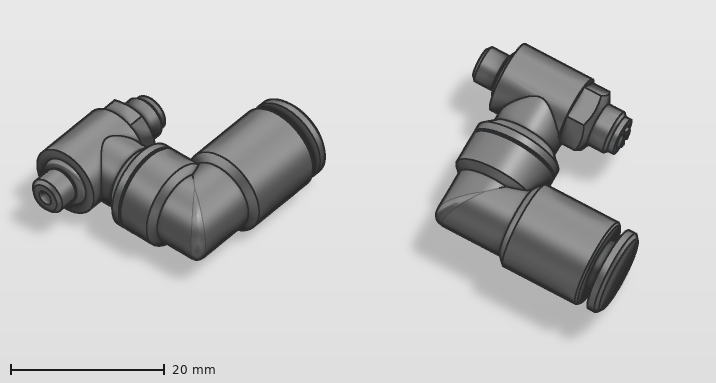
import cadquery as cq
import math


sleeve_radius = 6.0
elbow_radius = 5.0
flare = sleeve_radius - elbow_radius
corner_fillet = 1.35
reach = 2 * sleeve_radius
tangent_offset = reach * (elbow_radius - corner_fillet) / elbow_radius
inner_mitre = (-reach, reach)
tangent_on_x = (tangent_offset, -reach)
tangent_on_y = (reach, -tangent_offset)

collar_start = 5.95
collar_end = 17.0
collar_chamfer = 0.3
release_neck_radius = 3.6
release_neck_flare = 0.25
release_ring_start = 18.42
release_ring_end = 19.92
release_ring_radius = 5.75
release_ring_chamfer_length = 0.48
release_ring_chamfer_depth = 0.57

swivel_start = 3.05
groove_start = 7.5
groove_width = 0.33
groove_depth = groove_width
swivel_end = 8.95
stem_radius = 4.5
stem_start = 10.38

valve_x = -16.9
valve_radius = 4.85
valve_bottom = -6.0
valve_top = 4.08

hex_across_flats = 8.05
hex_corner_radius = hex_across_flats / math.sqrt(3)
hex_corner_top = 6.6
hex_top = 7.5
screw_radius = 2.97
screw_shoulder = 9.78
screw_tip_radius = 2.52
screw_tip_start = screw_shoulder + screw_radius - screw_tip_radius
screw_tip_end = 11.05
needle_base_radius = 1.62
needle_end_radius = 1.25
needle_end = 11.5
slot_width = 0.7

seal_section_radius = 0.72
seal_center_radius = 2.75
spigot_radius = 2.52
spigot_neck_radius = 2.37
spigot_end = -10.08
spigot_start = -6.95
spigot_chamfer_length = 0.48
spigot_chamfer_depth = 0.55
bore_radius = 1.02
bore_depth = 3.0


def turned_y(outline, axis_x=0.0):
    """Revolve (radius, y) points about the Y-parallel axis at axis_x."""
    points = [(axis_x + radius, y) for radius, y in outline]
    return cq.Workplane("XY").polyline(points).close().revolve(360, (axis_x, 0, 0), (axis_x, 1, 0))


def turned_x(outline):
    """Revolve (distance along -X, radius) points about the X axis."""
    points = [(-distance, radius) for distance, radius in outline]
    return cq.Workplane("XY").polyline(points).close().revolve(360, (0, 0, 0), (1, 0, 0))


def rod_y(radius, start, end, axis_x=0.0):
    """Plain cylinder between two positions along Y."""
    return turned_y([(0, start), (radius, start), (radius, end), (0, end)], axis_x)


def elbow_sector(*outline):
    """Prism as thick as the elbow, running from its centre line to the outline."""
    return (
        cq.Workplane("XY")
        .polyline([(0, 0), *outline])
        .close()
        .extrude(elbow_radius, both=True)
    )


def make_elbow_arms():
    """Two equal cylinders meeting in a mitre, open at the outer corner."""
    arm_x = turned_x([
        (-elbow_radius, 0),
        (-elbow_radius, elbow_radius),
        (swivel_start, elbow_radius),
        (swivel_start, 0),
    ])
    arm_y = rod_y(elbow_radius, -elbow_radius, collar_start)
    arm_x = arm_x.intersect(elbow_sector(inner_mitre, (-reach, -reach), tangent_on_x))
    arm_y = arm_y.intersect(elbow_sector(tangent_on_y, (reach, reach), inner_mitre))
    return arm_x.union(arm_y)


def make_elbow_corner():
    """Rounded wedge that closes the outer corner between the two arms."""
    wedge = elbow_sector(tangent_on_x, (reach, -reach), tangent_on_y)
    return make_corner_ellipsoid().intersect(wedge)


def make_corner_ellipsoid():
    """Ellipsoid tangent to both elbow cylinders, longest across the outer corner."""
    long_scale = math.sqrt((2 * elbow_radius - corner_fillet) / elbow_radius)
    short_scale = math.sqrt(corner_fillet / elbow_radius)
    stretch = cq.Matrix([
        [long_scale, 0, 0, 0],
        [0, 1, 0, 0],
        [0, 0, short_scale, 0],
    ])
    sphere = cq.Workplane("XY").sphere(elbow_radius).val()
    ellipsoid = cq.Workplane("XY").newObject([sphere.transformGeometry(stretch)])
    return ellipsoid.rotate((0, 0, 0), (1, 0, 0), 90).rotate((0, 0, 0), (0, 0, 1), 135)


def make_collar():
    """Push-in collar with its release ring."""
    collar = turned_y([
        (0, collar_start - flare),
        (elbow_radius, collar_start - flare),
        (sleeve_radius, collar_start),
        (sleeve_radius, collar_end - collar_chamfer),
        (sleeve_radius - collar_chamfer, collar_end),
        (0, collar_end),
    ])
    release_ring = turned_y([
        (0, collar_end),
        (release_neck_radius, collar_end),
        (release_neck_radius, release_ring_start - release_neck_flare),
        (release_neck_radius + release_neck_flare, release_ring_start),
        (release_ring_radius, release_ring_start),
        (release_ring_radius, release_ring_end - release_ring_chamfer_length),
        (release_ring_radius - release_ring_chamfer_depth, release_ring_end),
        (0, release_ring_end),
    ])
    return collar.union(release_ring)


def make_swivel():
    """Grooved swivel sleeve and the stem that meets the valve body."""
    groove_end = groove_start + groove_width
    groove_radius = sleeve_radius - groove_depth
    swivel = turned_x([
        (swivel_start - flare, 0),
        (swivel_start - flare, elbow_radius),
        (swivel_start, sleeve_radius),
        (groove_start, sleeve_radius),
        (groove_end, groove_radius),
        (groove_end, sleeve_radius),
        (swivel_end, sleeve_radius),
        (stem_start, stem_radius),
        (-valve_x, stem_radius),
        (-valve_x, 0),
    ])
    return swivel.cut(rod_y(valve_radius, -stem_radius, stem_radius, valve_x))


def make_hexagon():
    """Hexagon with its corners along X, coned off at the top."""
    prism = (
        cq.Workplane("XZ", origin=(valve_x, valve_top, 0))
        .polygon(6, 2 * hex_corner_radius)
        .extrude(valve_top - hex_top)
    )
    cone_envelope = turned_y([
        (0, valve_top),
        (hex_corner_radius, valve_top),
        (hex_corner_radius, hex_corner_top),
        (screw_radius, hex_top),
        (0, hex_top),
    ], valve_x)
    return prism.intersect(cone_envelope)


def make_screw():
    """Stepped adjusting screw with a slotted conical needle tip."""
    screw = turned_y([
        (0, hex_top),
        (screw_radius, hex_top),
        (screw_radius, screw_shoulder),
        (screw_tip_radius, screw_tip_start),
        (screw_tip_radius, screw_tip_end),
        (needle_base_radius, screw_tip_end),
        (needle_end_radius, needle_end),
        (0, needle_end),
    ], valve_x)
    slot_depth = needle_end - screw_tip_end
    slot = cq.Workplane("XY").box(slot_width, slot_depth, 2 * needle_base_radius)
    return screw.cut(slot.translate((valve_x, needle_end - slot_depth / 2, 0)))


def make_seal():
    """Torus half sunk into the underside of the valve body."""
    return (
        cq.Workplane("XY")
        .center(valve_x + seal_center_radius, valve_bottom)
        .circle(seal_section_radius)
        .revolve(360, (-seal_center_radius, 0, 0), (-seal_center_radius, 1, 0))
    )


def make_spigot():
    """Threaded end below the valve body, narrowed where it leaves the seal."""
    return turned_y([
        (0, valve_bottom),
        (spigot_neck_radius, valve_bottom),
        (spigot_neck_radius, valve_bottom - seal_section_radius),
        (spigot_radius, spigot_start),
        (spigot_radius, spigot_end + spigot_chamfer_length),
        (spigot_radius - spigot_chamfer_depth, spigot_end),
        (0, spigot_end),
    ], valve_x)


valve_body = rod_y(valve_radius, valve_bottom, valve_top, valve_x)
bore = rod_y(bore_radius, spigot_end, spigot_end + bore_depth, valve_x)

result = (
    make_elbow_arms()
    .union(make_collar())
    .union(make_swivel())
    .union(valve_body)
    .union(make_hexagon())
    .union(make_screw())
    .union(make_seal())
    .union(make_spigot())
    .cut(bore)
    .union(make_elbow_corner())
)